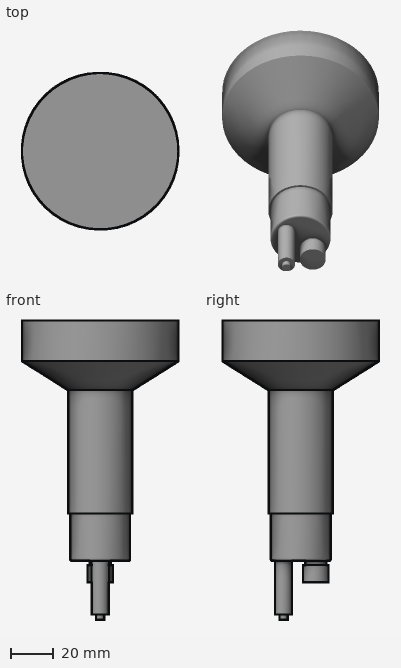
import cadquery as cq

total_height = 139.5

head_diameter = 73.0
head_rim_height = 19.0
cone_height = 13.5

shaft_diameter = 30.0
shaft_length = 57.5
collar_diameter = 28.0
collar_length = 22.0
collar_edge_radius = 1.0

connector_offset_y = 7.0
connector_neck_diameter = 10.0
connector_neck_length = 2.0
connector_diameter = 12.0
connector_length = 8.0

pin_offset_y = -8.0
pin_diameter = 8.0
pin_tip_diameter = 4.0
pin_tip_length = 2.5

head_rim_z = total_height - head_rim_height
shaft_top_z = head_rim_z - cone_height
collar_top_z = shaft_top_z - shaft_length
collar_bottom_z = collar_top_z - collar_length
pin_length = collar_bottom_z - pin_tip_length


def make_body():
    """Head, cone, shaft and collar revolved about the Z axis."""
    head_radius = head_diameter / 2
    shaft_radius = shaft_diameter / 2
    collar_radius = collar_diameter / 2
    half_profile = [
        (0, total_height),
        (head_radius, total_height),
        (head_radius, head_rim_z),
        (shaft_radius, shaft_top_z),
        (shaft_radius, collar_top_z),
        (collar_radius, collar_top_z),
        (collar_radius, collar_bottom_z),
        (0, collar_bottom_z),
    ]
    body = cq.Workplane("XZ").polyline(half_profile).close().revolve(360, (0, 0), (0, 1))
    return body.faces("<Z").edges().fillet(collar_edge_radius)


def make_stepped_stud(offset_y, sections):
    """Stack of cylinders hanging from the collar; sections are (diameter, length) from the top down."""
    stud = cq.Workplane("XY")
    top_z = collar_bottom_z
    for diameter, length in sections:
        section = cq.Workplane("XY").workplane(offset=top_z).center(0, offset_y)
        stud = stud.union(section.circle(diameter / 2).extrude(-length))
        top_z -= length
    return stud


connector = make_stepped_stud(
    connector_offset_y,
    [(connector_neck_diameter, connector_neck_length), (connector_diameter, connector_length)],
)
pin = make_stepped_stud(
    pin_offset_y,
    [(pin_diameter, pin_length), (pin_tip_diameter, pin_tip_length)],
)

result = make_body().union(connector).union(pin)